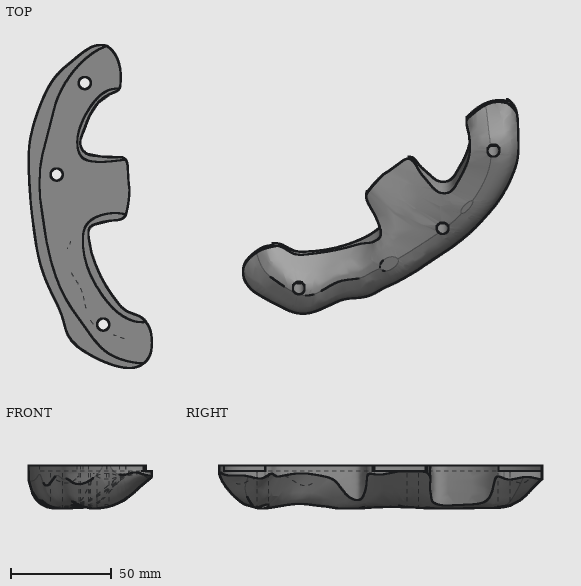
import cadquery as cq

hull_depth = 21.5
floor_depth = 2.9
hole_diameter = 6.0
hole_centres = [(-2.7, 61.5), (-16.7, 15.9), (6.5, -58.7)]

pivot_x = 48.7
pivot_y = -4.7
wall_overlap = 0.5
keel_inset = 14.5
inner_depth = 3.0
rise_slope = 0.7
open_side_x = 40.2

outer_rim = [
    (8.0, 80.0), (2.5, 80.0), (-6.9, 74.1), (-17.7, 64.2), (-23.2, 54.7), (-27.2, 44.2),
    (-30.2, 31.5), (-30.7, 20.7), (-29.9, 4.5), (-28.0, -12.7), (-24.0, -31.7), (-18.2, -45.3),
    (-14.1, -54.3), (-11.0, -64.3), (0.8, -74.3), (15.3, -79.9), (21.5, -80.2), (26.5, -78.0),
]
lower_lobe_end = [(16.5, -48.5), (29.7, -73.8), (30.7, -67.0), (30.0, -62.0), (27.8, -57.5)]
lower_notch = [
    (17.3, -35.8), (24.8, -54.7), (18.0, -52.0), (13.0, -47.0), (7.0, -38.1), (1.8, -26.4),
    (-0.8, -15.0), (-0.2, -10.5), (3.5, -8.4), (9.8, -7.0), (16.0, -6.0), (18.0, -3.2),
]
middle_lobe_end = [(11.2, -2.0), (19.6, 9.0), (18.3, 22.0)]
upper_notch = [
    (11.4, 13.7), (16.0, 24.5), (10.8, 24.5), (5.3, 25.0), (-2.0, 26.4), (-4.8, 30.2), (-3.7, 37.0),
    (-0.2, 45.5), (9.8, 56.0), (13.7, 57.7), (15.1, 61.5),
]
upper_lobe_end = [(9.4, 38.2), (15.1, 67.2), (12.5, 75.4), (8.0, 80.0)]

floor_outer_edge = [
    (8.0, 79.9), (1.8, 76.7), (-8.7, 66.9), (-16.7, 52.7), (-20.5, 38.8), (-24.5, 22.5), (-25.2, 9.8),
    (-23.5, -7.4), (-19.0, -29.1), (-12.2, -45.8), (-2.7, -60.0), (9.0, -73.0), (16.0, -76.2), (26.5, -78.0),
]
floor_lower_notch = [
    (27.8, -57.4), (22.0, -57.1), (17.0, -55.0), (6.3, -44.5), (-1.0, -31.4),
    (-3.7, -18.2), (-2.0, -9.2), (5.8, -4.2), (17.7, -4.0),
]
floor_upper_notch = [
    (18.0, 23.3), (9.0, 22.3), (1.8, 22.3), (-3.7, 24.1), (-6.5, 30.7),
    (-5.0, 39.7), (1.8, 52.0), (8.0, 57.4), (13.7, 58.7),
]

hull_sections = [
    (13.7, 84.4, 3.0, 70.0), (2.5, 80.2, 12.0, 69.1), (-6.9, 74.1, 19.6, 61.1), (-17.7, 64.2, 21.2, 45.0),
    (-27.2, 44.2, 21.5, 35.4), (-30.7, 20.7, 21.0, 29.7), (-28.0, -12.7, 21.5, 33.8),
    (-24.0, -31.7, 20.6, 47.5), (-18.2, -45.3, 19.3, 50.6), (-14.1, -54.3, 19.6, 52.3),
    (-11.0, -64.3, 21.0, 53.0), (0.8, -74.3, 20.6, 53.9), (15.3, -79.9, 13.7, 53.9),
    (21.5, -80.2, 8.7, 53.0), (35.4, -78.8, 3.0, 53.0),
]


def plan_outline():
    """Solid block with the plan outline of the grip."""
    outline = cq.Workplane("XY").moveTo(*outer_rim[0])
    for edge in (outer_rim, lower_lobe_end, lower_notch, middle_lobe_end, upper_notch, upper_lobe_end):
        outline = outline.spline(edge[1:], includeCurrent=True)
    return outline.close().extrude(-hull_depth)


def hull_section(outer_x, outer_y, depth, inner_radius):
    """Closed section: flat rim, rounded outer wall, underside rising towards the pivot."""
    radial = cq.Vector(outer_x - pivot_x, outer_y - pivot_y, 0)
    outer_radius = radial.Length + wall_overlap
    direction = radial.normalized()

    def at(radius, drop):
        return cq.Vector(pivot_x, pivot_y, 0) + direction * radius - cq.Vector(0, 0, drop)

    outer = at(outer_radius, 0)
    keel = at(outer_radius - keel_inset, depth)
    inner = at(inner_radius, inner_depth)
    inner_rim = at(inner_radius, 0)
    down = cq.Vector(0, 0, -1)
    inward = direction * -1
    rise = (inward + cq.Vector(0, 0, rise_slope)).normalized()
    wall = cq.Edge.makeSpline([outer, keel], tangents=[down, inward])
    underside = cq.Edge.makeSpline([keel, inner], tangents=[inward, rise])
    closing = [cq.Edge.makeLine(inner, inner_rim), cq.Edge.makeLine(inner_rim, outer)]
    return cq.Wire.assembleEdges([wall, underside] + closing)


def hull():
    """Smooth hull through all the radial sections."""
    wires = [hull_section(*section) for section in hull_sections]
    return cq.Workplane(cq.Solid.makeLoft(wires))


def floor_recess():
    """Pocket above the floor, open on +X at the three lobe ends."""
    pocket = cq.Workplane("XY").moveTo(*floor_outer_edge[0])
    pocket = pocket.spline(floor_outer_edge[1:], includeCurrent=True)
    pocket = pocket.lineTo(open_side_x, floor_outer_edge[-1][1])
    for notch in (floor_lower_notch, floor_upper_notch):
        pocket = pocket.lineTo(open_side_x, notch[0][1]).lineTo(*notch[0])
        pocket = pocket.spline(notch[1:], includeCurrent=True)
        pocket = pocket.lineTo(open_side_x, notch[-1][1])
    pocket = pocket.lineTo(open_side_x, floor_outer_edge[0][1])
    return pocket.close().extrude(-floor_depth)


def screw_holes():
    """Through holes in the floor."""
    return cq.Workplane("XY").pushPoints(hole_centres).circle(hole_diameter / 2).extrude(-hull_depth)


result = plan_outline().intersect(hull()).cut(floor_recess()).cut(screw_holes())